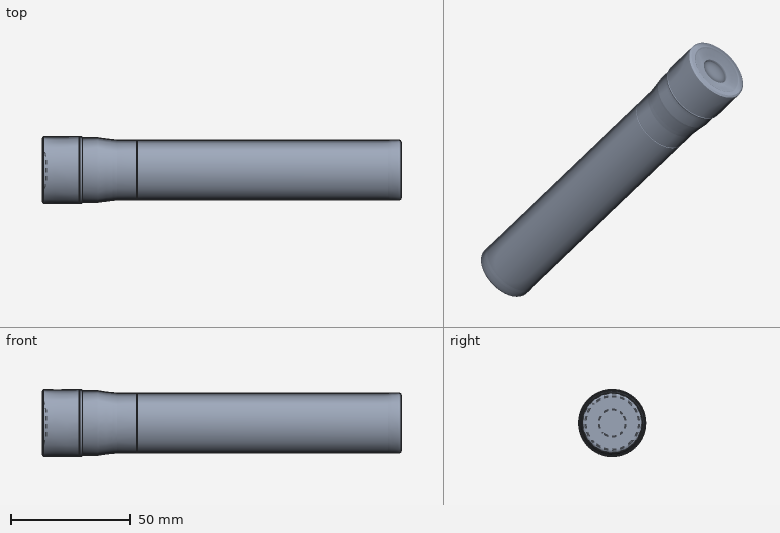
import cadquery as cq

total_length = 150.0
joint_x = 39.5

bezel_diameter = 28.0
bezel_front_diameter = 27.9
bezel_chamfer_length = 0.6
bezel_chamfer_drop = 0.7
bezel_line_x = 15.5
bezel_groove_width = 0.5
bezel_groove_depth = 0.3
bezel_end_x = 16.8
bezel_end_round = 1.0
collar_diameter = 27.0
collar_end_x = 23.2
collar_round_end_x = 24.1
collar_round_drop = 0.1
taper_end_x = 29.5
neck_start_x = 31.3
neck_diameter = 25.0
taper_end_drop = 0.1

reflector_diameter = 22.8
reflector_lip_width = 0.5
reflector_lip_depth = 0.3
reflector_depth = 1.0
pocket_diameter = 11.7
pocket_floor_diameter = 11.0
pocket_depth = 0.7

barrel_diameter = 25.0
joint_groove_diameter = 24.5
joint_groove_width = 0.5
tail_diameter = 25.2
tail_band_x = 144.5
tail_band_end_x = 145.9
tail_round_radius = 1.3


def revolve_about_x(profile):
    """Turn a closed (x, radius) profile into a solid of revolution about X."""
    return profile.close().revolve(360, (0, 0, 0), (1, 0, 0))


def make_head():
    bezel_radius = bezel_diameter / 2
    groove_radius = bezel_radius - bezel_groove_depth
    groove_end_x = bezel_line_x + bezel_groove_width
    front_radius = bezel_front_diameter / 2
    collar_radius = collar_diameter / 2
    neck_radius = neck_diameter / 2
    reflector_radius = reflector_diameter / 2
    cone_start_radius = reflector_radius - reflector_lip_width
    pocket_radius = pocket_diameter / 2
    reflector_bottom_x = reflector_lip_depth + reflector_depth
    pocket_floor_x = reflector_bottom_x + pocket_depth

    profile = (
        cq.Workplane("XY")
        .moveTo(pocket_floor_x, 0)
        .lineTo(pocket_floor_x, pocket_floor_diameter / 2)
        .lineTo(reflector_bottom_x, pocket_radius)
        .lineTo(reflector_lip_depth, cone_start_radius)
        .lineTo(0, reflector_radius)
        .lineTo(0, front_radius - bezel_chamfer_drop)
        .lineTo(bezel_chamfer_length, front_radius)
        .lineTo(bezel_line_x, bezel_radius)
        .lineTo(bezel_line_x, groove_radius)
        .lineTo(groove_end_x, groove_radius)
        .lineTo(groove_end_x, bezel_radius)
        .radiusArc((bezel_end_x, collar_radius), bezel_end_round)
        .lineTo(collar_end_x, collar_radius)
        .lineTo(collar_round_end_x, collar_radius - collar_round_drop)
        .lineTo(taper_end_x, neck_radius + taper_end_drop)
        .lineTo(neck_start_x, neck_radius)
        .lineTo(joint_x, neck_radius)
        .lineTo(joint_x, 0)
    )
    return revolve_about_x(profile)


def make_barrel():
    barrel_radius = barrel_diameter / 2
    joint_groove_radius = joint_groove_diameter / 2
    joint_groove_end_x = joint_x + joint_groove_width
    tail_radius = tail_diameter / 2

    profile = (
        cq.Workplane("XY")
        .moveTo(joint_x, 0)
        .lineTo(joint_x, joint_groove_radius)
        .lineTo(joint_groove_end_x, joint_groove_radius)
        .lineTo(joint_groove_end_x, barrel_radius)
        .lineTo(tail_band_x, barrel_radius)
        .lineTo(tail_band_end_x, tail_radius)
        .lineTo(total_length - tail_round_radius, tail_radius)
        .radiusArc((total_length, tail_radius - tail_round_radius), tail_round_radius)
        .lineTo(total_length, 0)
    )
    return revolve_about_x(profile)


head = make_head()
barrel = make_barrel()

result = cq.Compound.makeCompound([head.val(), barrel.val()])